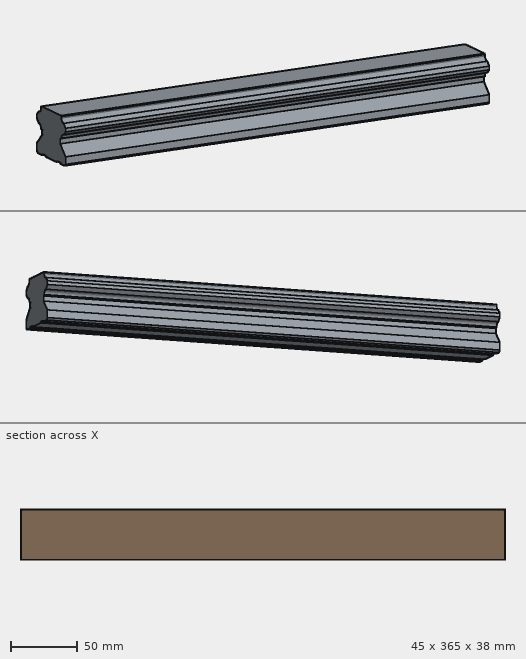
import cadquery as cq
import math

width = 45.0
length = 365.0
height = 38.0
half_width = width / 2

head_mid_z = 28.4
head_side_height = 2.8
track_radius = 3.5
track_inner_x = 15.9
top_chamfer = 0.7

neck_half_width = 14.3
neck_chamfer_height = 0.8

foot_side_top_z = 7.5
foot_chamfer = 1.6

groove_inner_x = 8.4
groove_outer_x = 14.4
groove_depth = 0.8

track_outer_x = track_inner_x + track_radius
flank_start = head_side_height / 2
flank_end = flank_start + half_width - track_outer_x
track_end = flank_end + track_radius
neck_top_z = head_mid_z - track_end - neck_chamfer_height
neck_bottom_z = foot_side_top_z + half_width - neck_half_width


def track_middle(side):
    """Point halfway along a track; side is +1 for the upper track and -1 for the lower."""
    reach = track_radius * math.sin(math.pi / 4)
    x = track_outer_x - reach
    z = head_mid_z + side * (track_end - reach)
    return (x, z)


def make_half_rail():
    """Half of the rail, on the +X side of the YZ plane, centred along Y."""
    lower_track_end = (track_inner_x, head_mid_z - track_end)
    lower_flank_end = (track_outer_x, head_mid_z - flank_end)
    upper_flank_end = (track_outer_x, head_mid_z + flank_end)
    upper_track_end = (track_inner_x, head_mid_z + track_end)
    return (
        cq.Workplane("XZ", origin=(0, length / 2, 0))
        .moveTo(0, 0)
        .lineTo(groove_inner_x, 0)
        .lineTo(groove_inner_x + groove_depth, groove_depth)
        .lineTo(groove_outer_x - groove_depth, groove_depth)
        .lineTo(groove_outer_x, 0)
        .lineTo(half_width - foot_chamfer, 0)
        .lineTo(half_width, foot_chamfer)
        .lineTo(half_width, foot_side_top_z)
        .lineTo(neck_half_width, neck_bottom_z)
        .lineTo(neck_half_width, neck_top_z)
        .lineTo(*lower_track_end)
        .threePointArc(track_middle(-1), lower_flank_end)
        .lineTo(half_width, head_mid_z - flank_start)
        .lineTo(half_width, head_mid_z + flank_start)
        .lineTo(*upper_flank_end)
        .threePointArc(track_middle(1), upper_track_end)
        .lineTo(track_inner_x, height - top_chamfer)
        .lineTo(track_inner_x - top_chamfer, height)
        .lineTo(0, height)
        .close()
        .extrude(length)
    )


half_rail = make_half_rail()
result = half_rail.union(half_rail.mirror("YZ")).clean()